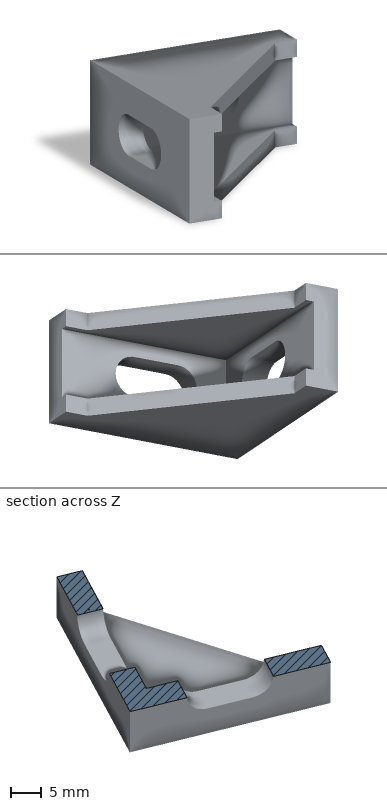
import cadquery as cq

leg_length = 35.0
height = 18.0
flange_thickness = 4.5
edge_thickness = 6.0
flange_lip = 4.0
web_thickness = 3.0
slot_length = 15.0
slot_width = 7.0

slope_end = leg_length - flange_lip
outline = [
    (0, 0),
    (leg_length, 0),
    (leg_length, edge_thickness),
    (slope_end, edge_thickness),
    (edge_thickness, slope_end),
    (edge_thickness, leg_length),
    (0, leg_length),
]
body = cq.Workplane("XY").polyline(outline).close().extrude(height)

pocket_length = leg_length - flange_thickness
pocket = (
    cq.Workplane("XY")
    .box(pocket_length, pocket_length, height - 2 * web_thickness, centered=False)
    .translate((flange_thickness, flange_thickness, web_thickness))
)


def flange_slot(plane, depth):
    """Horizontal slot through the middle of one flange."""
    return (
        cq.Workplane(plane)
        .center(leg_length / 2, height / 2)
        .slot2D(slot_length, slot_width)
        .extrude(depth)
    )


front_slot = flange_slot("XZ", -flange_thickness)
side_slot = flange_slot("YZ", flange_thickness)

result = body.cut(pocket).cut(front_slot).cut(side_slot)